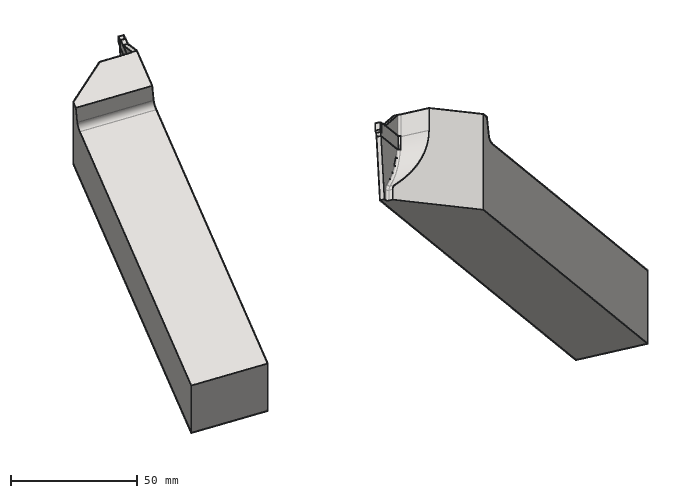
import cadquery as cq
import math


length = 170.0
shank_size = 32.1
head_height = 42.0
head_front_x = 15.6
head_rear_x = 33.8
shoulder_foot_x = 36.0
shoulder_radius = 3.0

blade_thickness = 2.0
blade_top_x = 1.0
blade_foot_x = 3.9
nose_foot_x = 5.0

slant_start_x = 30.8
slant_angle = 42.4

relief_wall_x = 15.8
relief_arc_top_z = 32.3
relief_arc_radius = 39.8
relief_heel_x = 5.8
relief_heel_radius = 3.4
relief_floor_radius = 1.0

insert_bottom = 26.5
insert_top = 32.6
insert_thickness = blade_thickness
tip_thickness = 2.2
tip_top = shank_size
tip_length = 1.5
tip_bevel_top = 28.9
tip_bevel_bottom = 28.0
tip_bevel_depth = 0.7
chip_step_x = 2.2

margin = 5.1


def extrude_forward(outline, back_y, depth):
    """Extrude an XZ outline from back_y toward -Y."""
    return outline.extrude(depth).translate((0, back_y, 0))


def make_blank():
    """Side outline of the shank, head and blade, with a rounded shoulder foot."""
    outline = cq.Workplane("XZ").polyline([
        (blade_foot_x, 0),
        (length, 0),
        (length, shank_size),
        (shoulder_foot_x, shank_size),
        (head_rear_x, head_height),
        (head_front_x, head_height),
        (nose_foot_x, insert_top),
        (blade_top_x, insert_top),
        (blade_top_x, insert_bottom),
    ]).close()
    blank = extrude_forward(outline, 0, shank_size)
    shoulder_foot = cq.selectors.NearestToPointSelector((shoulder_foot_x, -shank_size / 2, shank_size))
    return blank.edges(shoulder_foot).fillet(shoulder_radius)


def make_relief():
    """Relief: upright wall, concave sweep, rounded heel and a filleted floor."""
    arc_center_x = relief_wall_x - relief_arc_radius
    heel_angle = math.acos((relief_heel_x - arc_center_x) / relief_arc_radius)
    heel_z = relief_arc_top_z - relief_arc_radius * math.sin(heel_angle)
    middle_x = arc_center_x + relief_arc_radius * math.cos(heel_angle / 2)
    middle_z = relief_arc_top_z - relief_arc_radius * math.sin(heel_angle / 2)
    outline = (
        cq.Workplane("XZ")
        .moveTo(-margin, -margin)
        .lineTo(relief_heel_x, -margin)
        .lineTo(relief_heel_x, heel_z)
        .threePointArc((middle_x, middle_z), (relief_wall_x, relief_arc_top_z))
        .lineTo(relief_wall_x, head_height + margin)
        .lineTo(-margin, head_height + margin)
        .close()
    )
    relief = extrude_forward(outline, -blade_thickness, shank_size)
    heel = cq.selectors.NearestToPointSelector((relief_heel_x, -blade_thickness - shank_size / 2, heel_z))
    return relief.edges(heel).fillet(relief_heel_radius).faces(">Y").edges().fillet(relief_floor_radius)


def make_slant():
    """Wedge that slants the front corner of the head, ahead of the blade."""
    slant_depth = shank_size + margin - blade_thickness
    slope = math.tan(math.radians(slant_angle))
    back_x = slant_start_x - (shank_size - blade_thickness) * slope
    front_x = slant_start_x + margin * slope
    return (
        cq.Workplane("XY")
        .polyline([
            (back_x, -blade_thickness),
            (front_x, -blade_thickness - slant_depth),
            (-margin, -blade_thickness - slant_depth),
            (-margin, -blade_thickness),
        ])
        .close()
        .extrude(head_height)
    )


def make_insert_seat():
    """Slot for the insert, open at the tip; it also clears the relief floor fillet."""
    outline = cq.Workplane("XZ").polyline([
        (-margin, insert_bottom),
        (relief_wall_x, insert_bottom),
        (relief_wall_x, insert_top),
        (-margin, insert_top),
    ]).close()
    return extrude_forward(outline, 0, blade_thickness + relief_floor_radius)


def make_holder():
    return (
        make_blank()
        .cut(make_slant())
        .cut(make_relief())
        .cut(make_insert_seat())
    )


def make_insert():
    """Flat insert with a lowered, slightly wider cutting tip."""
    body_outline = cq.Workplane("XZ").polyline([
        (tip_length, insert_bottom),
        (relief_wall_x, insert_bottom),
        (relief_wall_x, insert_top),
        (chip_step_x, insert_top),
        (chip_step_x, tip_top),
        (tip_length, tip_top),
    ]).close()
    tip_outline = cq.Workplane("XZ").polyline([
        (tip_bevel_depth, tip_bevel_bottom),
        (tip_length, tip_bevel_bottom),
        (tip_length, tip_top),
        (0, tip_top),
        (0, tip_bevel_top),
    ]).close()
    neck_outline = cq.Workplane("XZ").polyline([
        (blade_top_x, insert_bottom),
        (tip_length, insert_bottom),
        (tip_length, tip_bevel_bottom),
        (tip_bevel_depth, tip_bevel_bottom),
    ]).close()
    body = extrude_forward(body_outline, 0, insert_thickness)
    neck = extrude_forward(neck_outline, 0, insert_thickness)
    tip = extrude_forward(tip_outline, 0, tip_thickness)
    return body.union(neck).union(tip)


holder = make_holder()
insert = make_insert()

result = cq.Compound.makeCompound([holder.solids().val(), insert.solids().val()])